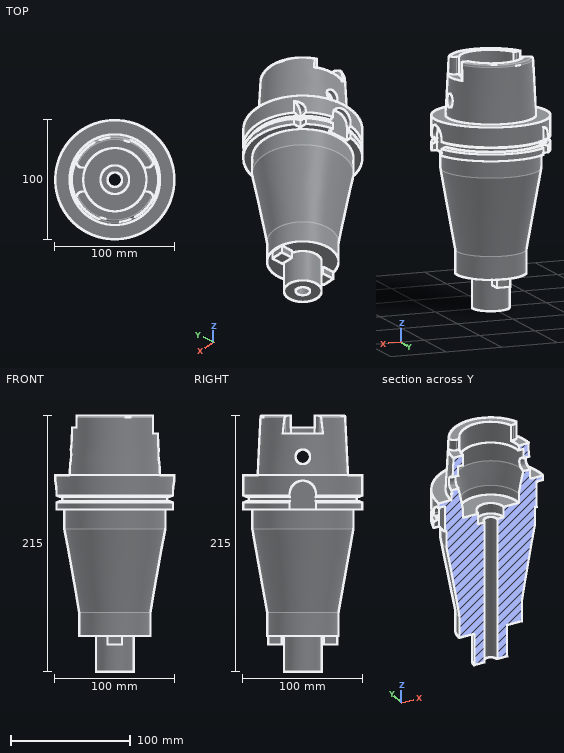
import cadquery as cq
import math


SHANK_LENGTH = 50.0
SHANK_BASE_RADIUS = 38.0
SHANK_TIP_RADIUS = 35.5
SHANK_TIP_FILLET = 1.8

BORE_RADIUS = 26.5
UNDERCUT_RADIUS = 31.0
UNDERCUT_TOP_Z = 30.0
UNDERCUT_BOTTOM_Z = 10.0
UNDERCUT_BOTTOM_ANGLE = 12.0
BORE_FLOOR_Z = -20.0

DRIVE_SLOT_WIDTH = 20.0
DRIVE_SLOT_FLARE_RADIUS = 5.0
DRIVE_SLOT_FLARE_START_X = 27.15
DRIVE_SLOT_SHOULDER_X = 32.1
SHALLOW_SLOT_DEPTH = 10.0
DEEP_SLOT_DEPTH = 15.0

CROSS_HOLE_DIAMETER = 12.0
CROSS_HOLE_Z = 15.3

FLANGE_RADIUS = 50.0
FLANGE_THICKNESS = 29.0
GROOVE_FLANK_END_RADIUS = 46.8
GROOVE_FLOOR_RADIUS = 45.3
GROOVE_TOP_DEPTH = 17.0
GROOVE_CENTRE_DEPTH = 20.1
GROOVE_FLOOR_WIDTH = 3.4

RIM_SLOT_TOP_DEPTH = 4.7
NARROW_KEYWAY_WIDTH = 20.0
WIDE_KEYWAY_WIDTH = 22.0
KEYWAY_FLOOR_X = 44.0
NOTCH_WIDTH = 20.0
NOTCH_CENTRE_Y = 41.5
NOTCH_FLOOR_X = 32.0

NECK_RADIUS = 42.5
NECK_END_DEPTH = 45.0
COLLAR_RADIUS = 30.0
COLLAR_START_DEPTH = 115.0
COLLAR_END_DEPTH = 135.0

SPIGOT_RADIUS = 15.875
SPIGOT_LENGTH = 30.0
KEY_WIDTH = 12.0
KEY_HEIGHT = 7.0
KEY_INNER_Y = 17.5
KEY_OUTER_Y = 29.0

COOLANT_BORE_RADIUS = 12.0
COOLANT_BORE_DEPTH = 10.0
THROUGH_HOLE_RADIUS = 6.0

ARBOR_END_DEPTH = COLLAR_END_DEPTH + SPIGOT_LENGTH
CUT_CLEARANCE = 1.0


def revolve_profile(points):
    """Revolve a closed (radius, z) outline about the Z axis."""
    profile = cq.Workplane("YZ").polyline(points).close()
    return profile.revolve(360, (0, 0, 0), (0, 1, 0))


def make_shank():
    shank = revolve_profile([
        (0, 0),
        (SHANK_BASE_RADIUS, 0),
        (SHANK_TIP_RADIUS, SHANK_LENGTH),
        (0, SHANK_LENGTH),
    ])
    return shank.faces(">Z").edges().fillet(SHANK_TIP_FILLET)


def make_body():
    """Flange with its groove of chamfered flanks, neck, long cone, collar and spigot."""
    groove_mouth_half = GROOVE_CENTRE_DEPTH - GROOVE_TOP_DEPTH
    groove_floor_half = GROOVE_FLOOR_WIDTH / 2
    return revolve_profile([
        (0, 0),
        (FLANGE_RADIUS, 0),
        (FLANGE_RADIUS, -GROOVE_CENTRE_DEPTH + groove_mouth_half),
        (GROOVE_FLANK_END_RADIUS, -GROOVE_CENTRE_DEPTH + groove_floor_half),
        (GROOVE_FLOOR_RADIUS, -GROOVE_CENTRE_DEPTH + groove_floor_half),
        (GROOVE_FLOOR_RADIUS, -GROOVE_CENTRE_DEPTH - groove_floor_half),
        (GROOVE_FLANK_END_RADIUS, -GROOVE_CENTRE_DEPTH - groove_floor_half),
        (FLANGE_RADIUS, -GROOVE_CENTRE_DEPTH - groove_mouth_half),
        (FLANGE_RADIUS, -FLANGE_THICKNESS),
        (NECK_RADIUS, -FLANGE_THICKNESS),
        (NECK_RADIUS, -NECK_END_DEPTH),
        (COLLAR_RADIUS, -COLLAR_START_DEPTH),
        (COLLAR_RADIUS, -COLLAR_END_DEPTH),
        (SPIGOT_RADIUS, -COLLAR_END_DEPTH),
        (SPIGOT_RADIUS, -ARBOR_END_DEPTH),
        (0, -ARBOR_END_DEPTH),
    ])


def make_key(side):
    """Driving key under the collar, on the +Y (1) or -Y (-1) side."""
    key_length = KEY_OUTER_Y - KEY_INNER_Y
    key_centre_y = (KEY_OUTER_Y + KEY_INNER_Y) / 2
    key = cq.Workplane("XY").workplane(offset=-COLLAR_END_DEPTH)
    key = key.center(0, side * key_centre_y).rect(KEY_WIDTH, key_length)
    return key.extrude(-KEY_HEIGHT)


def make_axial_holes():
    """Stepped cavity: bore, undercut, coolant bore and through hole."""
    cone_height = (UNDERCUT_RADIUS - BORE_RADIUS) / math.tan(math.radians(UNDERCUT_BOTTOM_ANGLE))
    coolant_floor_z = BORE_FLOOR_Z - COOLANT_BORE_DEPTH
    return revolve_profile([
        (0, SHANK_LENGTH),
        (BORE_RADIUS, SHANK_LENGTH),
        (BORE_RADIUS, UNDERCUT_TOP_Z),
        (UNDERCUT_RADIUS, UNDERCUT_TOP_Z),
        (UNDERCUT_RADIUS, UNDERCUT_BOTTOM_Z),
        (BORE_RADIUS, UNDERCUT_BOTTOM_Z - cone_height),
        (BORE_RADIUS, BORE_FLOOR_Z),
        (COOLANT_BORE_RADIUS, BORE_FLOOR_Z),
        (COOLANT_BORE_RADIUS, coolant_floor_z),
        (THROUGH_HOLE_RADIUS, coolant_floor_z),
        (THROUGH_HOLE_RADIUS, -ARBOR_END_DEPTH),
        (0, -ARBOR_END_DEPTH),
    ])


def make_drive_slot(side, depth):
    """Slot through the shank wall on the +X (1) or -X (-1) side.

    Its walls flare outwards through rounds that end at a flat shoulder.
    """
    half_width = DRIVE_SLOT_WIDTH / 2
    radius = DRIVE_SLOT_FLARE_RADIUS
    flare_start_x = DRIVE_SLOT_FLARE_START_X
    shoulder_x = DRIVE_SLOT_SHOULDER_X
    flare_angle = math.asin((shoulder_x - flare_start_x) / radius)
    flare_mid_x = flare_start_x + radius * math.sin(flare_angle / 2)
    flare_mid_y = half_width + radius * (1 - math.cos(flare_angle / 2))
    flare_end_y = half_width + radius * (1 - math.cos(flare_angle))
    outer_x = SHANK_BASE_RADIUS + CUT_CLEARANCE
    outer_y = flare_end_y + radius

    slot = (
        cq.Workplane("XY").workplane(offset=SHANK_LENGTH)
        .moveTo(0, -half_width)
        .lineTo(side * flare_start_x, -half_width)
        .threePointArc((side * flare_mid_x, -flare_mid_y), (side * shoulder_x, -flare_end_y))
        .lineTo(side * shoulder_x, -outer_y)
        .lineTo(side * outer_x, -outer_y)
        .lineTo(side * outer_x, outer_y)
        .lineTo(side * shoulder_x, outer_y)
        .lineTo(side * shoulder_x, flare_end_y)
        .threePointArc((side * flare_mid_x, flare_mid_y), (side * flare_start_x, half_width))
        .lineTo(0, half_width)
        .close()
    )
    return slot.extrude(-depth)


def make_cross_hole():
    hole = cq.Workplane("YZ").center(0, CROSS_HOLE_Z).circle(CROSS_HOLE_DIAMETER / 2)
    return hole.extrude(SHANK_BASE_RADIUS + CUT_CLEARANCE, both=True)


def make_rim_slot(side, width, floor_x, centre_y):
    """Round-topped slot, milled along X and open at the flange underside."""
    radius = width / 2
    arc_depth = RIM_SLOT_TOP_DEPTH + radius
    cut_length = FLANGE_RADIUS + CUT_CLEARANCE - floor_x
    slot = (
        cq.Workplane("YZ").workplane(offset=side * floor_x)
        .moveTo(centre_y - radius, -FLANGE_THICKNESS)
        .lineTo(centre_y - radius, -arc_depth)
        .threePointArc((centre_y, -arc_depth + radius), (centre_y + radius, -arc_depth))
        .lineTo(centre_y + radius, -FLANGE_THICKNESS)
        .close()
    )
    return slot.extrude(side * cut_length)


result = make_shank().union(make_body())
for key_side in (1, -1):
    result = result.union(make_key(key_side))

result = result.cut(make_axial_holes())
result = result.cut(make_drive_slot(-1, SHALLOW_SLOT_DEPTH))
result = result.cut(make_drive_slot(1, DEEP_SLOT_DEPTH))
result = result.cut(make_cross_hole())

result = result.cut(make_rim_slot(-1, NARROW_KEYWAY_WIDTH, KEYWAY_FLOOR_X, 0))
result = result.cut(make_rim_slot(1, WIDE_KEYWAY_WIDTH, KEYWAY_FLOOR_X, 0))
result = result.cut(make_rim_slot(-1, NOTCH_WIDTH, NOTCH_FLOOR_X, NOTCH_CENTRE_Y))